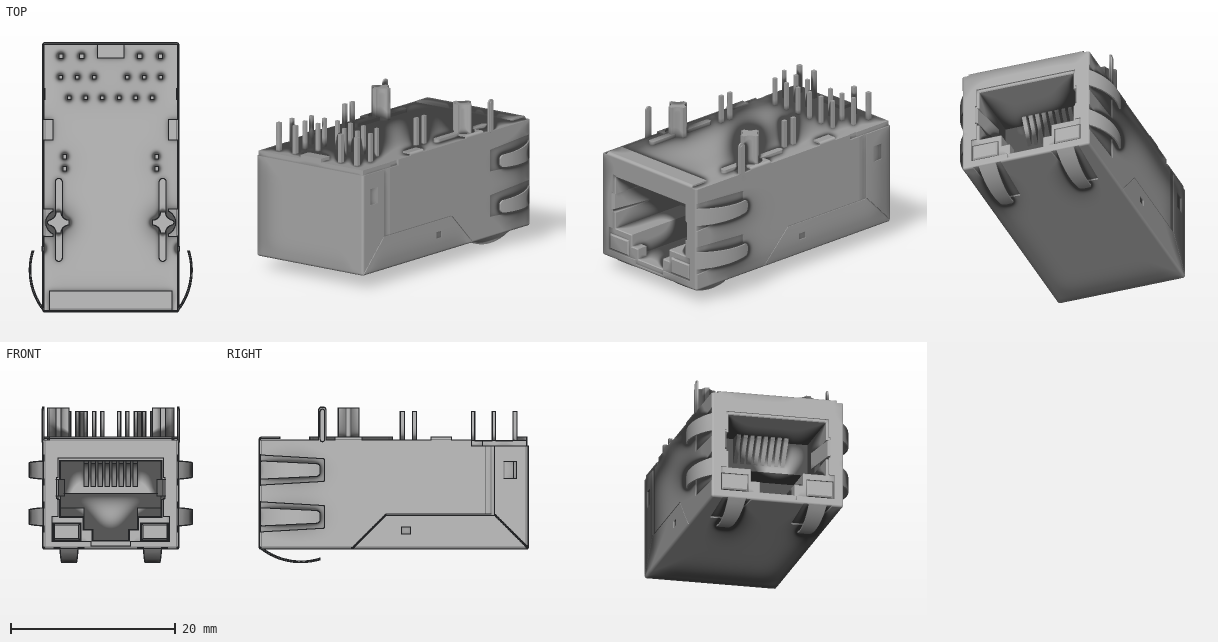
import cadquery as cq
import math

SHEET = 0.2
LENGTH = 32.8
HALF_WIDTH = 8.3
BEND_RADIUS = 0.3
WALL_TOP = 13.32
HOUSING_TOP = 13.22
TAB_TOP = 13.68
INNER_HALF = HALF_WIDTH - SHEET
MARGIN = 0.33

REAR_WALL_TOP = 12.6
REAR_STEP_Y = 25.88
SHOULDER_NOTCH_Y, SHOULDER_NOTCH_DEPTH = 27.22, 0.1
SEAM_DEPTH = 0.1
SEAM_WIDTH = 0.13
SEAM_Z = 4.2
SEAM_FRONT_Y = 15.45
SEAM_REAR_Y = 28.7
GROOVE_FLOOR_Y = 28.27
GROOVE_START_Y = 27.55
WINDOW_Y, WINDOW_Z = (17.32, 18.45), (1.87, 2.72)
LOUVRE_Y, LOUVRE_Z = (29.85, 31.32), (8.63, 10.65)
LOUVRE_FLAT_Y = 31.0

SIDE_TABS_Y = [(20.93, 23.45), (9.22, 12.55)]
TAB_INNER_X = 7.05
FLAP_HALF_WIDTH, FLAP_LENGTH, FLAP_RADIUS = 7.48, 2.53, 0.35

SPRING_PEAK = 1.65
SPRING_PEAK_Y = 5.1
SPRING_RADIUS = 7.97
SPRING_TIP_Y = 7.45
SPRING_ROOT_HALF, SPRING_TIP_HALF = 1.1, 0.75
SPRING_TIP_FILLET = 0.5
SLOT_START_Y, SLOT_END_Y = 0.1, 7.97
SLOT_FRONT_HALF, SLOT_REAR_HALF = 1.85, 1.38
SLOT_FILLET = 0.15
SIDE_SPRINGS_Z = [3.95, 9.65]
BOTTOM_SPRING_X = 5.1

PEG_Y, PEG_WIDTH, PEG_TOP = 7.7, 0.92, 17.32
PEG_TIP_FILLET = 0.4
RIDGE_WIDTH, RIDGE_HEIGHT = 0.52, 0.1
RIDGE_Z = (13.1, 17.05)

SHIELD_OPENING_TOP, SHIELD_OPENING_HALF = 11.1, 6.43
OPENING_BOTTOM = 0.95
LED_OPENING_HALF, LED_OPENING_TOP = 7.15, 4.0
FINGER_Z = (6.45, 8.5)
FINGER_RELIEF = 0.25
FINGER_ROOT_X, FINGER_BEND_X, FINGER_TIP_X = 6.63, 6.35, 5.65
FINGER_BEND_Y, FINGER_TIP_Y = 0.33, 5.58
RECESS_DEPTH, RECESS_BOTTOM = 5.9, 6.05
LIP_GAP_HALF, LIP_GAP_BOTTOM = 2.43, 0.4
CAVITY_TOP, CAVITY_HALF = 10.73, 6.15
CAVITY_CHAMFER = 0.1
LEDGE_Z, KEYWAY_HALF, KEYWAY_FLOOR = 3.97, 3.28, 1.08
CAVITY_DEPTH = 13.12
COMB_Y, COMB_Z = 9.2, 6.8
REAR_BLOCK_Y, REAR_BLOCK_TOP = 11.15, 5.02
LATCH_HALF_GAP, LATCH_TOP, LATCH_LENGTH = 2.15, 2.43, 1.45
LED_X, LED_Z = (3.65, 7.1), (1.02, 3.2)
LED_GAP, LED_CHAMFER, LED_POCKET_DEPTH = 0.1, 0.15, 0.33

CONTACT_COUNT, CONTACT_PITCH, CONTACT_WIDTH = 8, 0.85, 0.5
CONTACT_FRONT_Y, CONTACT_LOW_Z, CONTACT_NOSE = 7.2, 7.6, 0.25

RIB_X, RIB_WIDTH, RIB_Y = 6.33, 0.85, (6.15, 16.27)
PAD_WIDTH, PAD_LENGTH = 3.25, 1.67
POST_X, POST_Y, POST_TOP = 6.35, 10.9, 17.22
POST_ARM, POST_TIP_HALF, POST_WAIST = 1.28, 0.3, 0.6
POST_SHOULDER, POST_POINT = 1.1, 1.35
POST_CLEARANCE = 1.55

PIN_TOP = 16.8
PIN_WIDE, PIN_NARROW = 0.52, 0.43
PIN_PITCH = 2.05
PIN_ROWS = [
    (31.15, [3.55, 6.07], PIN_WIDE, PIN_WIDE),
    (28.6, [PIN_PITCH * n for n in (1, 2, 3)], PIN_NARROW, PIN_NARROW),
    (26.08, [PIN_PITCH * n for n in (0.5, 1.5, 2.5)], PIN_NARROW, PIN_NARROW),
    (18.93, [5.58], PIN_NARROW, PIN_WIDE),
    (17.45, [5.58], PIN_NARROW, PIN_WIDE),
]


def box(x, y, z):
    """Axis-aligned box from three (low, high) ranges."""
    size = [high - low for low, high in (x, y, z)]
    return cq.Workplane("XY").box(*size, centered=False).translate((x[0], y[0], z[0]))


def both_sides(shape):
    """The shape at +X together with its mirror image at -X."""
    return shape.union(shape.mirror("YZ"))


def side_prism(points, depth):
    """Prism with a (Y, Z) outline that goes inward from the +X outer face."""
    plane = cq.Workplane("YZ", origin=(HALF_WIDTH - depth, 0, 0))
    return plane.polyline(points).close().extrude(depth + MARGIN)


def plan_prism(points, z):
    """Prism with an (X, Y) outline over a Z range."""
    return cq.Workplane("XY", origin=(0, 0, z[0])).polyline(points).close().extrude(z[1] - z[0])


def front_prism(points, y):
    """Prism with an (X, Z) outline over a Y range."""
    return cq.Workplane("XZ", origin=(0, y[0], 0)).polyline(points).close().extrude(y[0] - y[1])


def mirrored(points):
    """Closed symmetric outline from its +X half, listed from top to bottom."""
    return points + [(-x, z) for x, z in reversed(points)]


def shield_shell():
    """Sheet box, open towards the board, with rounded bends."""
    full = (-HALF_WIDTH, HALF_WIDTH)
    shell = box(full, (0, LENGTH), (0, TAB_TOP)).edges("|Z or <Z").fillet(BEND_RADIUS)
    inner = (-INNER_HALF, INNER_HALF)
    shell = shell.cut(box(inner, (SHEET, LENGTH - SHEET), (SHEET, TAB_TOP + MARGIN)))

    above_wall = box(full, (0, LENGTH), (WALL_TOP, TAB_TOP))
    above_rear = box(full, (REAR_STEP_Y, LENGTH), (REAR_WALL_TOP, TAB_TOP))
    return shell.cut(above_wall).cut(above_rear)


def front_flap():
    """Flap that folds from the front panel over the housing."""
    x = (-FLAP_HALF_WIDTH, FLAP_HALF_WIDTH)
    flap = box(x, (0, FLAP_LENGTH), (WALL_TOP - FLAP_RADIUS, TAB_TOP))
    flap = flap.edges("<Y and >Z").fillet(FLAP_RADIUS)
    return flap.cut(box(x, (SHEET, FLAP_LENGTH), (0, TAB_TOP - SHEET)))


def side_tab(y):
    """Tab that folds from the +X wall over the housing, clear of the post."""
    tab = box((TAB_INNER_X, HALF_WIDTH), y, (WALL_TOP - BEND_RADIUS, TAB_TOP))
    tab = tab.edges(">X and >Z").fillet(BEND_RADIUS)
    tab = tab.cut(box((TAB_INNER_X, INNER_HALF), y, (0, TAB_TOP - SHEET)))
    clearance = cq.Workplane("XY").center(POST_X, POST_Y).circle(POST_CLEARANCE).extrude(TAB_TOP)
    return tab.cut(clearance)


def tapered_outline(start_y, end_y, start_half, end_half, fillet):
    """Tapered tongue outline in (Y, Z), made into a tall prism along X, with rounded far corners."""
    points = [(start_y, -start_half), (end_y, -end_half), (end_y, end_half), (start_y, start_half)]
    reach = 2 * SPRING_PEAK
    prism = cq.Workplane("YZ", origin=(-SHEET, 0, 0)).polyline(points).close().extrude(reach)
    return prism.edges("|X and >Y").fillet(fillet)


def spring():
    """Bowed ground spring on a wall whose outer face is X = 0, centred on Z = 0."""
    centre_x = SPRING_PEAK - SPRING_RADIUS
    ring = (
        cq.Workplane("XY", origin=(0, 0, -SPRING_ROOT_HALF))
        .center(centre_x, SPRING_PEAK_Y)
        .circle(SPRING_RADIUS)
        .circle(SPRING_RADIUS - SHEET)
        .extrude(2 * SPRING_ROOT_HALF)
    )
    root_y = SLOT_START_Y / 2
    outline = tapered_outline(root_y, SPRING_TIP_Y, SPRING_ROOT_HALF, SPRING_TIP_HALF, SPRING_TIP_FILLET)
    return ring.intersect(outline)


def spring_slot():
    """Cut around one spring, in the same place as the spring."""
    return tapered_outline(SLOT_START_Y, SLOT_END_Y, SLOT_FRONT_HALF, SLOT_REAR_HALF, SLOT_FILLET)


def on_side(shape, z):
    """Spring shape moved onto the +X wall."""
    return shape.translate((HALF_WIDTH, 0, z))


def on_bottom(shape):
    """Spring shape turned onto the bottom, at +X."""
    return shape.rotate((0, 0, 0), (0, 1, 0), 90).translate((BOTTOM_SPRING_X, 0, 0))


def seams():
    """Shallow seams and the stepped groove where the sheet flaps meet on the +X wall."""
    half = SEAM_WIDTH / 2
    rear_foot = SEAM_REAR_Y + SEAM_Z
    front_foot = SEAM_FRONT_Y - SEAM_Z
    diagonal = half * math.sqrt(2)
    horizontal = [
        (SEAM_FRONT_Y, SEAM_Z - half),
        (SEAM_REAR_Y, SEAM_Z - half),
        (SEAM_REAR_Y, SEAM_Z + half),
        (SEAM_FRONT_Y, SEAM_Z + half),
    ]
    cuts = side_prism(horizontal, SEAM_DEPTH)
    for top_y, foot_y in ((SEAM_REAR_Y, rear_foot), (SEAM_FRONT_Y, front_foot)):
        line = [
            (top_y - diagonal, SEAM_Z),
            (top_y + diagonal, SEAM_Z),
            (foot_y + diagonal, 0),
            (foot_y - diagonal, 0),
        ]
        cuts = cuts.union(side_prism(line, SEAM_DEPTH))
    groove = [
        (HALF_WIDTH, GROOVE_START_Y),
        (HALF_WIDTH - SEAM_DEPTH, GROOVE_FLOOR_Y),
        (HALF_WIDTH - SEAM_DEPTH, SEAM_REAR_Y),
        (HALF_WIDTH, SEAM_REAR_Y),
    ]
    return cuts.union(plan_prism(groove, (SEAM_Z, REAR_WALL_TOP)))


def wall_windows():
    """Small square window and the louvre in the +X wall."""
    window = box((INNER_HALF, HALF_WIDTH), WINDOW_Y, WINDOW_Z)
    louvre = [
        (HALF_WIDTH, LOUVRE_Y[0]),
        (INNER_HALF, LOUVRE_FLAT_Y),
        (INNER_HALF, LOUVRE_Y[1]),
        (HALF_WIDTH, LOUVRE_Y[1]),
    ]
    return window.union(plan_prism(louvre, LOUVRE_Z))


def peg():
    """Board peg that rises from the +X wall, with a raised stiffening ridge."""
    y = (PEG_Y - PEG_WIDTH / 2, PEG_Y + PEG_WIDTH / 2)
    blade = box((INNER_HALF, HALF_WIDTH), y, (WALL_TOP - BEND_RADIUS, PEG_TOP))
    blade = blade.edges("|X and >Z").fillet(PEG_TIP_FILLET)
    ridge_length = RIDGE_Z[1] - RIDGE_Z[0]
    ridge = (
        cq.Workplane("YZ", origin=(HALF_WIDTH, PEG_Y, sum(RIDGE_Z) / 2))
        .slot2D(ridge_length, RIDGE_WIDTH, 90)
        .extrude(RIDGE_HEIGHT)
    )
    return blade.union(ridge)


def shield_opening():
    """Plug and LED opening in the front panel."""
    outline = mirrored([
        (SHIELD_OPENING_HALF, SHIELD_OPENING_TOP),
        (SHIELD_OPENING_HALF, LED_OPENING_TOP),
        (LED_OPENING_HALF, LED_OPENING_TOP),
        (LED_OPENING_HALF, OPENING_BOTTOM),
    ])
    opening = front_prism(outline, (0, SHEET))
    slot_z = (FINGER_Z[0] - FINGER_RELIEF, FINGER_Z[1] + FINGER_RELIEF)
    finger_slot = box((-FINGER_ROOT_X, FINGER_ROOT_X), (0, SHEET), slot_z)
    lip_gap = box((-LIP_GAP_HALF, LIP_GAP_HALF), (0, SHEET), (LIP_GAP_BOTTOM, OPENING_BOTTOM))
    return opening.union(finger_slot).union(lip_gap)


def finger():
    """Contact finger that slants from the +X edge of the opening into the cavity."""
    points = [
        (FINGER_ROOT_X, 0),
        (FINGER_BEND_X, FINGER_BEND_Y),
        (FINGER_TIP_X, FINGER_TIP_Y),
        (FINGER_TIP_X + SHEET, FINGER_TIP_Y),
        (FINGER_BEND_X + SHEET, FINGER_BEND_Y),
        (FINGER_ROOT_X + SHEET, SHEET),
        (FINGER_ROOT_X + SHEET, 0),
    ]
    return plan_prism(points, FINGER_Z)


def make_shield():
    """Metal shield with its tabs, springs, pegs and fingers."""
    body = shield_shell().union(front_flap())
    for y in SIDE_TABS_Y:
        body = body.union(both_sides(side_tab(y)))
    for z in SIDE_SPRINGS_Z:
        body = body.cut(both_sides(on_side(spring_slot(), z)))
    body = body.cut(both_sides(on_bottom(spring_slot())))
    for z in SIDE_SPRINGS_Z:
        body = body.union(both_sides(on_side(spring(), z)))
    body = body.union(both_sides(on_bottom(spring())))
    body = body.cut(both_sides(seams()))
    body = body.cut(both_sides(wall_windows()))
    body = body.union(both_sides(peg()))
    return body.cut(shield_opening()).union(both_sides(finger()))


def mouth_outline():
    """Outline of the cavity at its mouth, including the latch stops."""
    return mirrored([
        (CAVITY_HALF, CAVITY_TOP),
        (CAVITY_HALF, LEDGE_Z),
        (KEYWAY_HALF, LEDGE_Z),
        (KEYWAY_HALF, LATCH_TOP),
        (LATCH_HALF_GAP, LATCH_TOP),
        (LATCH_HALF_GAP, KEYWAY_FLOOR),
    ])


def mouth_chamfer():
    """Bevel around the cavity mouth."""
    return (
        cq.Workplane("XZ", origin=(0, SHEET, 0))
        .polyline(mouth_outline())
        .close()
        .offset2D(CAVITY_CHAMFER, "intersection")
        .extrude(-CAVITY_CHAMFER, taper=45)
    )


def cavity():
    """Plug cavity: mouth with latch stops, then ledges, keyway, comb and rear blocks."""
    behind_latch = SHEET + LATCH_LENGTH
    mouth = front_prism(mouth_outline(), (SHEET, behind_latch))
    main_outline = mirrored([
        (CAVITY_HALF, CAVITY_TOP),
        (CAVITY_HALF, LEDGE_Z),
        (KEYWAY_HALF, LEDGE_Z),
        (KEYWAY_HALF, KEYWAY_FLOOR),
    ])
    main = front_prism(main_outline, (behind_latch, CAVITY_DEPTH))
    comb = box((-CAVITY_HALF, CAVITY_HALF), (COMB_Y, CAVITY_DEPTH), (COMB_Z, CAVITY_TOP))
    rear_block = box((KEYWAY_HALF, CAVITY_HALF), (REAR_BLOCK_Y, CAVITY_DEPTH), (LEDGE_Z, REAR_BLOCK_TOP))
    return mouth.union(main).cut(comb).cut(both_sides(rear_block)).union(mouth_chamfer())


def finger_recess():
    """Recess beside the cavity that gives room to the +X finger of the shield."""
    x = (CAVITY_HALF, FINGER_ROOT_X + SHEET)
    return box(x, (SHEET, RECESS_DEPTH), (RECESS_BOTTOM, FINGER_Z[1]))


def led_pocket():
    """Pocket in the housing front around the LED lens."""
    return box(LED_X, (SHEET, SHEET + LED_POCKET_DEPTH), LED_Z)


def led_lens():
    """LED lens with bevelled edges, standing in its pocket with a gap all round."""
    x, z = [(low + LED_GAP, high - LED_GAP) for low, high in (LED_X, LED_Z)]
    lens = box(x, (0, SHEET + LED_POCKET_DEPTH), z)
    return lens.faces("<Y").chamfer(LED_CHAMFER)


def contact(x):
    """Spring contact that slants down from the cavity roof to the comb."""
    half = CONTACT_WIDTH / 2
    points = [
        (CONTACT_FRONT_Y, CAVITY_TOP),
        (CONTACT_FRONT_Y, CAVITY_TOP - CONTACT_NOSE),
        (COMB_Y, CONTACT_LOW_Z),
        (COMB_Y, CAVITY_TOP),
    ]
    return cq.Workplane("YZ", origin=(x - half, 0, 0)).polyline(points).close().extrude(CONTACT_WIDTH)


def shoulder_notch():
    """Shallow notch in the housing edge, at the front end of the lowered rear wall at +X."""
    x = (INNER_HALF - SHOULDER_NOTCH_DEPTH, INNER_HALF)
    return box(x, (REAR_STEP_Y, SHOULDER_NOTCH_Y), (REAR_WALL_TOP, HOUSING_TOP))


def rib():
    """Round-ended standoff rib."""
    return (
        cq.Workplane("XY", origin=(RIB_X, sum(RIB_Y) / 2, HOUSING_TOP))
        .slot2D(RIB_Y[1] - RIB_Y[0], RIB_WIDTH, 90)
        .extrude(TAB_TOP - HOUSING_TOP)
    )


def post():
    """Locating post: four arms with concave flanks, the outer arm rounded."""
    arm, tip, waist = POST_ARM, POST_TIP_HALF, POST_WAIST
    return (
        cq.Workplane("XY", origin=(POST_X, POST_Y, HOUSING_TOP))
        .moveTo(POST_SHOULDER, -tip)
        .threePointArc((POST_POINT, 0), (POST_SHOULDER, tip))
        .threePointArc((waist, waist), (tip, arm))
        .lineTo(-tip, arm)
        .threePointArc((-waist, waist), (-arm, tip))
        .lineTo(-arm, -tip)
        .threePointArc((-waist, -waist), (-tip, -arm))
        .lineTo(tip, -arm)
        .threePointArc((waist, -waist), (POST_SHOULDER, -tip))
        .close()
        .extrude(POST_TOP - HOUSING_TOP)
    )


def pin(x, y, size_x, size_y):
    """Solder pin on the board side."""
    x_range = (x - size_x / 2, x + size_x / 2)
    y_range = (y - size_y / 2, y + size_y / 2)
    return box(x_range, y_range, (HOUSING_TOP, PIN_TOP))


def make_housing():
    """Plastic housing with its contacts, lenses, standoffs, posts and pins."""
    inner = (-INNER_HALF, INNER_HALF)
    rear_y = LENGTH - SHEET
    body = box(inner, (SHEET, rear_y), (SHEET, HOUSING_TOP))
    body = body.cut(cavity()).cut(both_sides(finger_recess())).cut(both_sides(shoulder_notch()))
    body = body.cut(both_sides(led_pocket())).union(both_sides(led_lens()))
    for n in range(CONTACT_COUNT):
        body = body.union(contact((n - (CONTACT_COUNT - 1) / 2) * CONTACT_PITCH))
    body = body.union(both_sides(rib())).union(both_sides(post()))
    pad_x = (-PAD_WIDTH / 2, PAD_WIDTH / 2)
    body = body.union(box(pad_x, (rear_y - PAD_LENGTH, rear_y), (HOUSING_TOP, TAB_TOP)))
    for y, positions, size_x, size_y in PIN_ROWS:
        for x in positions:
            body = body.union(both_sides(pin(x, y, size_x, size_y)))
    return body


shield = make_shield()
housing = make_housing()
result = cq.Compound.makeCompound([shield.val(), housing.val()])